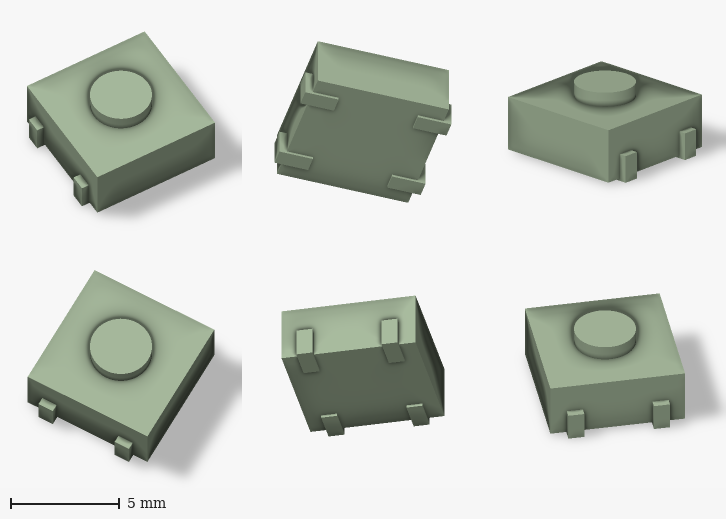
import cadquery as cq

total_depth = 7.02
total_height = 3.4

body_side = 6.3
body_height = 2.575
standoff = 0.125
body_top = standoff + body_height

button_diameter = 2.85
button_height = total_height - body_top

lead_width = 0.75
lead_height = 1.305
lead_length = 1.61
lead_pitch = 4.0


def make_body():
    """Housing block, centred on the Z axis."""
    body = cq.Workplane("XY").box(body_side, body_side, body_height, centered=(True, True, False))
    return body.translate((0, 0, standoff))


def make_button():
    """Button standing on the top of the housing."""
    return cq.Workplane("XY").workplane(offset=body_top).circle(button_diameter / 2).extrude(button_height)


def make_leads():
    """Leads standing on Z = 0, two at each Y end."""
    row_spacing = total_depth - lead_length
    return (
        cq.Workplane("XY")
        .rect(lead_pitch, row_spacing, forConstruction=True)
        .vertices()
        .rect(lead_width, lead_length)
        .extrude(lead_height)
    )


result = make_body().union(make_button()).union(make_leads())